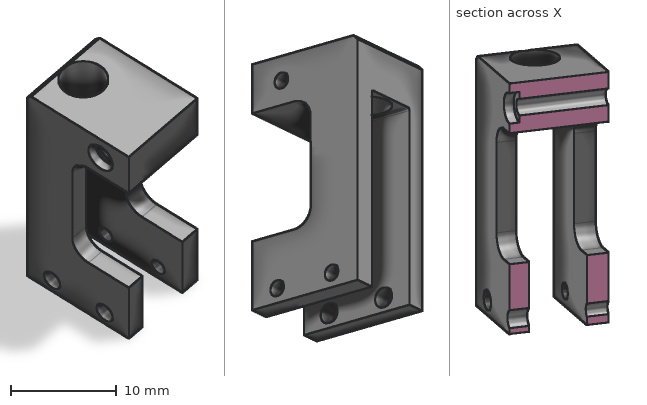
import cadquery as cq

LENGTH_X = 12.6
DEPTH_Y = 10.0
HEIGHT_Z = 25.0
TOP_CHAMFER = 0.5

FRONT_LEG = 2.0
SLOT_WIDTH = 5.8
HEAD_HEIGHT = 5.0
SLOT_TOP_Z = HEIGHT_Z - HEAD_HEIGHT
SLOT_FILLET = 0.25
SLOT_CENTER_Y = FRONT_LEG + SLOT_WIDTH / 2

SPINE_WIDTH = 5.6
FOOT_HEIGHT = 7.0
NOTCH_FILLET = 2.0

BORE_DIAMETER = 4.7
BORE_X = SPINE_WIDTH / 2

SCREW_HOLE_DIAMETER = 1.6
HEAD_SCREW_X = 9.1
HEAD_SCREW_Z = HEIGHT_Z - HEAD_HEIGHT / 2
COUNTERBORE_DIAMETER = 3.0
COUNTERBORE_DEPTH = 1.0

CLEARANCE_DIAMETER = 2.0
FOOT_SCREW_Z = 1.5
FIRST_FOOT_SCREW_X = 3.1
FOOT_SCREW_SPACING = 6.5
FOOT_SCREW_XS = (FIRST_FOOT_SCREW_X, FIRST_FOOT_SCREW_X + FOOT_SCREW_SPACING)


def make_block():
    block = cq.Workplane("XY").box(LENGTH_X, DEPTH_Y, HEIGHT_Z, centered=False)
    return block.faces(">Z").edges("<X").chamfer(TOP_CHAMFER)


def make_slot():
    slot = cq.Workplane("XY").box(LENGTH_X, SLOT_WIDTH, SLOT_TOP_Z, centered=False)
    slot = slot.faces(">Z").edges("|X").fillet(SLOT_FILLET)
    return slot.translate((0, FRONT_LEG, 0))


def make_notch():
    notch = cq.Workplane("XY").box(
        LENGTH_X - SPINE_WIDTH, DEPTH_Y, SLOT_TOP_Z - FOOT_HEIGHT, centered=False
    )
    notch = notch.faces("<X").edges("|Y").fillet(NOTCH_FILLET)
    return notch.translate((SPINE_WIDTH, 0, FOOT_HEIGHT))


def make_bore():
    return (
        cq.Workplane("XY")
        .center(BORE_X, SLOT_CENTER_Y)
        .circle(BORE_DIAMETER / 2)
        .extrude(HEIGHT_Z)
    )


def make_cross_hole(x, z, diameter, depth):
    """Cylinder running from the front face in the +Y direction."""
    return cq.Workplane("XZ").center(x, z).circle(diameter / 2).extrude(-depth)


result = make_block().cut(make_slot()).cut(make_notch()).cut(make_bore())

result = result.cut(make_cross_hole(HEAD_SCREW_X, HEAD_SCREW_Z, SCREW_HOLE_DIAMETER, DEPTH_Y))
result = result.cut(
    make_cross_hole(HEAD_SCREW_X, HEAD_SCREW_Z, COUNTERBORE_DIAMETER, COUNTERBORE_DEPTH)
)

for screw_x in FOOT_SCREW_XS:
    result = result.cut(make_cross_hole(screw_x, FOOT_SCREW_Z, SCREW_HOLE_DIAMETER, DEPTH_Y))
    result = result.cut(make_cross_hole(screw_x, FOOT_SCREW_Z, CLEARANCE_DIAMETER, FRONT_LEG))